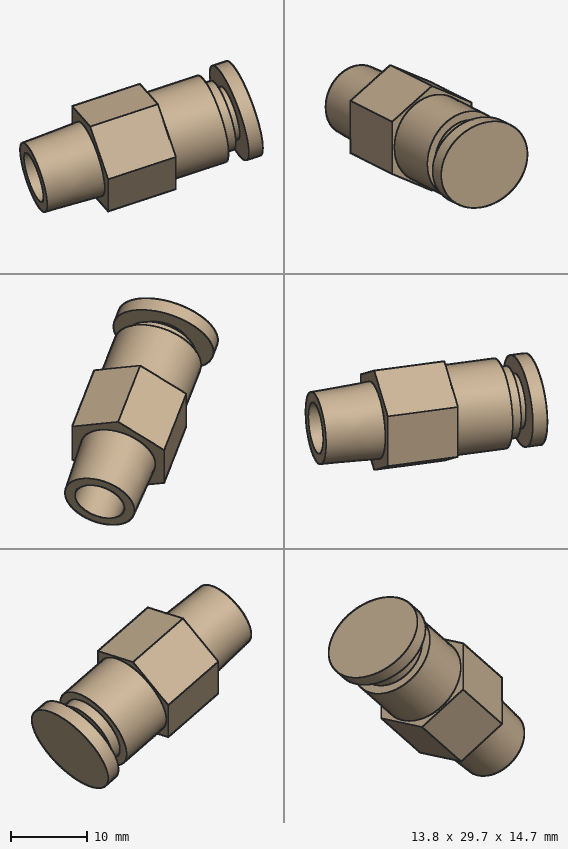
import cadquery as cq
import math


stub_length = 8.0
stub_root_length = 0.2
stub_root_diameter = 10.29
stub_tip_diameter = 9.6
bore_diameter = 6.8
bore_depth = stub_length

hex_across_flats = 12.7
hex_length = 9.6
hex_across_corners = hex_across_flats / math.cos(math.radians(30))

body_diameter = 12.0
body_length = 7.6
collar_diameter = 9.6
collar_length = 1.5
neck_diameter = 7.35
neck_length = 1.0

button_width = 13.8
button_height = 11.8
button_thickness = 2.0

body_start = hex_length
collar_start = body_start + body_length
neck_start = collar_start + collar_length
button_start = neck_start + neck_length


def plane_at(y):
    """Workplane square to the axis at y, extruding towards +Y."""
    return cq.Workplane(cq.Plane(origin=(0, y, 0), xDir=(1, 0, 0), normal=(0, 1, 0)))


def cylinder(y, diameter, length):
    return plane_at(y).circle(diameter / 2).extrude(length)


def make_stub():
    """Revolve the straight root and the taper, then cut the blind bore."""
    profile = (
        cq.Workplane("XY")
        .moveTo(0, 0)
        .lineTo(stub_root_diameter / 2, 0)
        .lineTo(stub_root_diameter / 2, -stub_root_length)
        .lineTo(stub_tip_diameter / 2, -stub_length)
        .lineTo(0, -stub_length)
        .close()
    )
    stub = profile.revolve(360, (0, 0, 0), (0, 1, 0))
    return stub.cut(cylinder(-stub_length, bore_diameter, bore_depth))


def make_hexagon():
    corner_on_z = 90
    hexagon = plane_at(0).polygon(6, hex_across_corners).extrude(hex_length)
    return hexagon.rotate((0, 0, 0), (0, 1, 0), corner_on_z)


def make_button():
    outline = plane_at(button_start).ellipse(button_width / 2, button_height / 2)
    return outline.extrude(button_thickness)


result = (
    make_hexagon()
    .union(make_stub())
    .union(cylinder(body_start, body_diameter, body_length))
    .union(cylinder(collar_start, collar_diameter, collar_length))
    .union(cylinder(neck_start, neck_diameter, neck_length))
    .union(make_button())
)